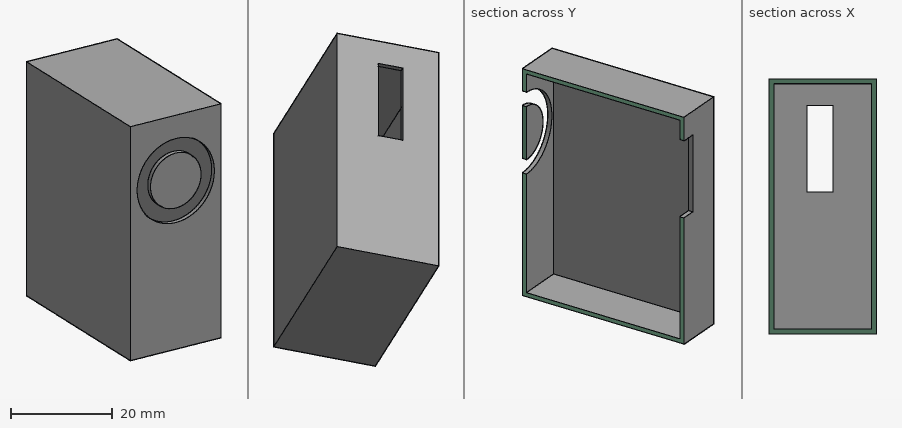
import cadquery as cq

LENGTH_X = 38.15
DEPTH_Y = 21.2
HEIGHT_Z = 50.2
WALL = 1.0

SLOT_WIDTH = 5.05
SLOT_HEIGHT = 16.95
SLOT_Y = -0.55
SLOT_Z = 11.35

OPENING_DIAMETER = 18.0
DISC_DIAMETER = 11.8
OPENING_Z = 11.1

INNER_FACE_X = LENGTH_X / 2 - WALL


def wall_cylinder(diameter):
    """Cylinder along X that spans the +X wall at the round opening."""
    return (
        cq.Workplane("YZ", origin=(INNER_FACE_X, 0, OPENING_Z))
        .circle(diameter / 2)
        .extrude(WALL)
    )


def make_housing():
    """Closed thin-walled box with a slot in one end and a round opening in the other."""
    outer = cq.Workplane("XY").box(LENGTH_X, DEPTH_Y, HEIGHT_Z)
    cavity = cq.Workplane("XY").box(LENGTH_X - 2 * WALL, DEPTH_Y - 2 * WALL, HEIGHT_Z - 2 * WALL)
    slot = (
        cq.Workplane("YZ", origin=(-LENGTH_X / 2, SLOT_Y, SLOT_Z))
        .rect(SLOT_WIDTH, SLOT_HEIGHT)
        .extrude(WALL)
    )
    return outer.cut(cavity).cut(slot).cut(wall_cylinder(OPENING_DIAMETER))


def make_disc():
    """Plain disc, as thick as the wall, with a ring-shaped gap around it."""
    return wall_cylinder(DISC_DIAMETER)


housing = make_housing()
disc = make_disc()

result = cq.Compound.makeCompound([housing.val(), disc.val()])